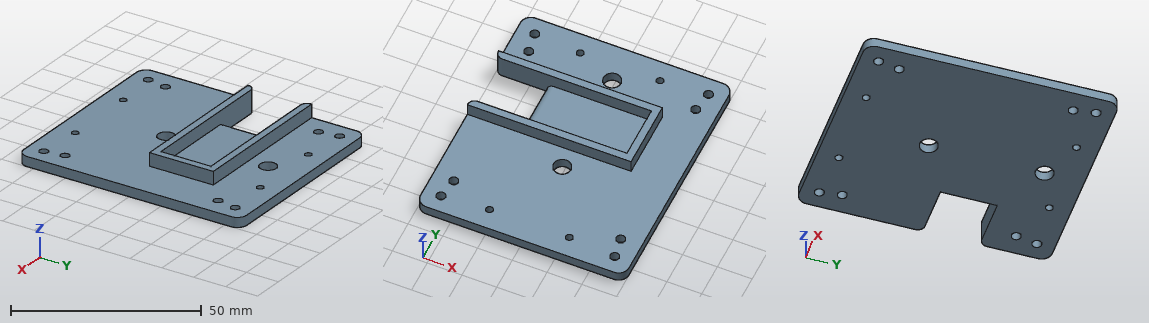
import cadquery as cq

length = 70.0
width = 60.0
plate_thickness = 3.0
corner_radius = 3.0

total_height = 7.0
rim_length = 47.1
rim_width = 20.0
rim_wall = 2.2
rim_end_radius = 2.0
tray_centre_y = 8.0

notch_depth = 15.0
floor_edge_radius = 2.0

large_hole_diameter = 5.0
large_hole_spacing = 32.0
screw_hole_diameter = 2.6
outer_screw_x = 25.0
outer_screw_y = 30.0
inner_screw_x = 24.0
inner_screw_y = 24.0
pin_hole_diameter = 2.0
pin_x = 11.5
pin_y = 29.05

open_side_x = -width / 2
tray_length = rim_length - rim_wall
tray_width = rim_width - 2 * rim_wall


def block_from_open_side(block_length, block_width, bottom, top):
    """Box starting at the open side and centred on the tray in Y."""
    return (
        cq.Workplane("XY")
        .box(block_length, block_width, top - bottom, centered=(False, True, False))
        .translate((open_side_x, tray_centre_y, bottom))
    )


def mirrored_points(x, y):
    """Four points placed symmetrically about both axes."""
    return [(side_x * x, side_y * y) for side_x in (-1, 1) for side_y in (-1, 1)]


def drill(body, points, diameter):
    """Cut vertical through holes at the given points."""
    tools = cq.Workplane("XY").pushPoints(points).circle(diameter / 2).extrude(total_height)
    return body.cut(tools)


plate = cq.Workplane("XY").box(width, length, plate_thickness, centered=(True, True, False))
plate = plate.edges("|Z").fillet(corner_radius)
body = plate.union(block_from_open_side(rim_length, rim_width, 0, total_height))

body = body.cut(block_from_open_side(tray_length, tray_width, plate_thickness, total_height))
body = body.cut(block_from_open_side(notch_depth, tray_width, 0, total_height))

for side in (-1, 1):
    edge_point = (open_side_x, tray_centre_y + side * tray_width / 2, total_height / 2)
    body = body.edges(cq.selectors.NearestToPointSelector(edge_point)).fillet(rim_end_radius)

floor_edge_point = (open_side_x + notch_depth, tray_centre_y, plate_thickness)
body = body.edges(cq.selectors.NearestToPointSelector(floor_edge_point)).fillet(floor_edge_radius)

large_hole_points = [(0, tray_centre_y + side * large_hole_spacing / 2) for side in (-1, 1)]
body = drill(body, large_hole_points, large_hole_diameter)

body = drill(body, mirrored_points(outer_screw_x, outer_screw_y), screw_hole_diameter)
body = drill(body, mirrored_points(inner_screw_x, inner_screw_y), screw_hole_diameter)
body = drill(body, mirrored_points(pin_x, pin_y), pin_hole_diameter)

result = body